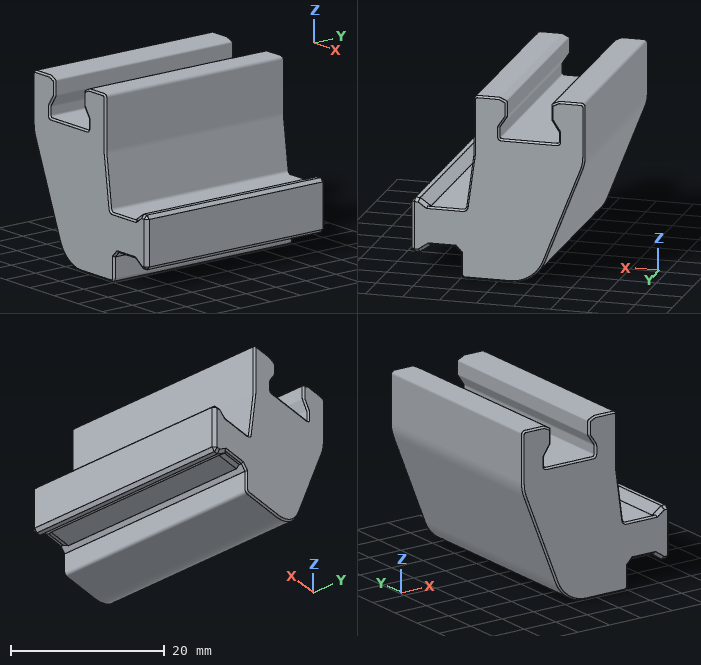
import cadquery as cq
import math

length = 30.0
width = 23.5
height = 25.1
edge_chamfer = 0.25
corner_radius = 0.5

body_width = 15.0
wall_to_lip = 4.5
right_lip_top = 25.0
undercut = 1.02
slot_radius = 0.3
lip_underside_z = 22.47
lip_slope_drop = 1.53
lip_bevel_angle = 25
slot_floor_z = 19.38
lip_bevel_drop = undercut * math.tan(math.radians(lip_bevel_angle))
lip_left_x = wall_to_lip
lip_right_x = body_width - wall_to_lip
slot_left_x = lip_left_x - undercut
slot_right_x = lip_right_x + undercut
slot_shoulder_z = lip_underside_z - lip_slope_drop

flank_top_z = 16.9
flank_bottom_x = 6.65
flank_radius = 5.0
draft_top_z = 17.1
draft_bottom_x = 16.05
draft_radius = 4.0
shelf_radius = 0.5
foot_right_x = 16.75
foot_top_z = 3.42

shelf_z = 9.35
tongue_bottom_z = 3.95
land_z = 4.2
land_length = 0.6
ramp_angle = 20
ramp_length = (land_z - tongue_bottom_z) / math.tan(math.radians(ramp_angle))
head_top_z = 10.38
head_bottom_z = 3.0
head_start_x = 22.35
head_chamfer = 0.48
head_slope_angle = 35
head_slope = math.tan(math.radians(head_slope_angle))

half_length = length / 2


def extrude_profile(points):
    """Extrude an XZ outline along Y, centred on Y = 0."""
    return cq.Workplane("XZ").polyline(points).close().extrude(half_length, both=True)


def foot_bevel_x(z):
    """X on the 45 degree bevel between the foot and the tongue."""
    return foot_right_x + z - foot_top_z


def head_slope_x(z):
    """X on the sloped lower flank of the dovetail head."""
    return head_start_x - (z - head_bottom_z) / head_slope


def round_edges(body, radius, corners):
    """Fillet the lengthwise edges that pass through the given XZ corners."""
    for x, z in corners:
        body = body.edges(cq.selectors.NearestToPointSelector((x, 0, z))).fillet(radius)
    return body


def make_block():
    block = extrude_profile([
        (0, height),
        (slot_left_x, height),
        (lip_left_x, height - lip_bevel_drop),
        (lip_left_x, lip_underside_z),
        (slot_left_x, slot_shoulder_z),
        (slot_left_x, slot_floor_z),
        (slot_right_x, slot_floor_z),
        (slot_right_x, slot_shoulder_z),
        (lip_right_x, lip_underside_z),
        (lip_right_x, right_lip_top - lip_bevel_drop),
        (slot_right_x, right_lip_top),
        (body_width, right_lip_top),
        (body_width, draft_top_z),
        (draft_bottom_x, shelf_z),
        (head_start_x - (head_top_z - shelf_z) / head_slope, shelf_z),
        (head_start_x, head_top_z),
        (width, head_top_z),
        (width, head_bottom_z),
        (head_start_x, head_bottom_z),
        (head_slope_x(tongue_bottom_z), tongue_bottom_z),
        (foot_bevel_x(tongue_bottom_z), tongue_bottom_z),
        (foot_right_x, foot_top_z),
        (foot_right_x, 0),
        (flank_bottom_x, 0),
        (0, flank_top_z),
    ])
    block = round_edges(block, flank_radius, [(0, flank_top_z), (flank_bottom_x, 0)])
    block = round_edges(block, draft_radius, [(body_width, draft_top_z)])
    block = round_edges(block, shelf_radius, [(draft_bottom_x, shelf_z)])
    block = round_edges(block, corner_radius, [
        (0, height),
        (body_width, right_lip_top),
        (foot_right_x, 0),
        (slot_left_x, slot_shoulder_z),
        (slot_right_x, slot_shoulder_z),
    ])
    return round_edges(block, slot_radius, [
        (slot_left_x, slot_floor_z),
        (slot_right_x, slot_floor_z),
        (slot_left_x, height),
        (lip_left_x, height - lip_bevel_drop),
        (lip_left_x, lip_underside_z),
        (slot_right_x, right_lip_top),
        (lip_right_x, right_lip_top - lip_bevel_drop),
        (lip_right_x, lip_underside_z),
    ])


def make_ramp_cutter():
    """Flat land and ramp removed from below the tongue at both ends."""
    channel = extrude_profile([
        (foot_bevel_x(tongue_bottom_z), tongue_bottom_z),
        (foot_bevel_x(land_z), land_z),
        (head_slope_x(land_z), land_z),
        (head_slope_x(tongue_bottom_z), tongue_bottom_z),
    ])
    front_cut = (
        cq.Workplane("YZ")
        .polyline([
            (-half_length, tongue_bottom_z),
            (-half_length + land_length + ramp_length, tongue_bottom_z),
            (-half_length + land_length, land_z),
            (-half_length, land_z),
        ])
        .close()
        .extrude(width)
    )
    return channel.intersect(front_cut.union(front_cut.mirror("XZ")))


def chamfer_outline(body):
    """Chamfer the dovetail head, its tip edges included, then the rest of both end outlines."""
    margin = 0.03
    tip = cq.selectors.BoxSelector(
        (width - margin, -length, 0),
        (width + margin, length, height),
    )
    head = cq.selectors.BoxSelector(
        (head_slope_x(tongue_bottom_z), -length, 0),
        (width + margin, length, height),
    )
    tip_edges = body.edges(tip)
    head_end_edges = body.faces("<Y or >Y").edges(head)
    body = tip_edges.add(head_end_edges).chamfer(head_chamfer)
    return body.faces("<Y or >Y").edges(cq.selectors.BoxSelector(
        (-margin, -length, -margin),
        (head_slope_x(tongue_bottom_z), length, height + margin),
    )).chamfer(edge_chamfer)


result = chamfer_outline(make_block().cut(make_ramp_cutter()))